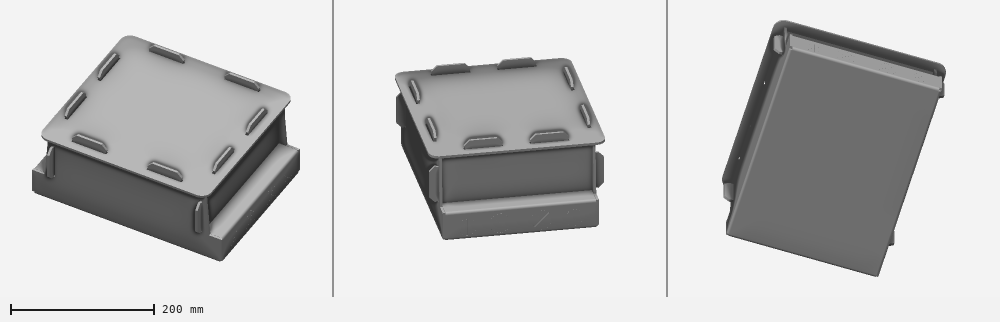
import cadquery as cq
import math

sheet = 3.5
box_length = 303.0
box_width = 221.8
lid_length = 269.7
lid_width = 251.0
lid_corner_radius = 15.0
lid_top = 124.0
lid_bottom = lid_top - sheet
inner_y = box_width / 2 - sheet
bend_inner = 0.15
bend_outer = bend_inner + sheet
floor_x = box_length / 2 - bend_outer
floor_y = inner_y - bend_inner
seam_gap = 0.3

ledge_height = 43.3
upright_x = 120.3

step_x = 131.5
top_x = 125.5
corner_notch = 4.5

tab_reach = 13.0
tab_head = 55.0
tab_neck = 51.0
tab_bevel = 8.0
side_wall_tab_x = 60.3
end_wall_tab_y = 47.0
end_tab_z = 73.5

slot_length = 55.8
slot_width = 5.0

cable_cuts = [(29.7, 20.0, 14.8), (75.5, 18.5, 12.7)]
slit_width = 0.15
arc_half_angle = 16
ray_angles = (45, 90, 135, 225, 270, 315)


def mirrored(right):
    """Outline points on the right of the centre line, followed by their mirror images."""
    return right + [(-u, v) for u, v in reversed(right)]


def tab(plane):
    """Bevelled tab: grows along the plane's local Y, one sheet thick along its normal."""
    tip = sheet + tab_reach
    shoulder = tip - tab_bevel
    head = tab_head / 2
    neck = tab_neck / 2
    flat = head - tab_bevel
    right = [(flat, tip), (head, shoulder), (neck, -seam_gap)]
    outline = mirrored(right)
    return cq.Workplane(plane).polyline(outline).close().extrude(sheet)


def floor_and_ends():
    """Floor with both stepped end walls."""
    half = box_length / 2
    upright_inner = upright_x - sheet
    ledge_under = ledge_height - sheet
    outer = [(half, 0), (half, ledge_height), (upright_x, ledge_height), (upright_x, lid_bottom)]
    inner = [
        (upright_inner, lid_bottom),
        (upright_inner, ledge_under),
        (half - sheet, ledge_under),
        (half - sheet, sheet),
    ]
    end_half_width = inner_y - seam_gap
    body = cq.Workplane("XZ").polyline(mirrored(outer + inner)).close().extrude(end_half_width, both=True)

    for x, z in [(half - sheet, sheet), (half - sheet, ledge_under), (upright_x, ledge_height)]:
        body = round_bend(body, x, z, bend_inner)
    for x, z in [(half, 0), (half, ledge_height), (upright_inner, ledge_under)]:
        body = round_bend(body, x, z, bend_outer)

    floor = cq.Workplane("XY").rect(2 * floor_x, 2 * floor_y).extrude(sheet)
    return body.union(floor)


def round_bend(body, x, z, radius):
    """Round the bend edges that run along Y through (x, z) and (-x, z)."""
    reach = sheet / 4
    for bend_x in (-x, x):
        low = (bend_x - reach, -reach, z - reach)
        high = (bend_x + reach, reach, z + reach)
        body = body.edges(cq.selectors.BoxSelector(low, high)).fillet(radius)
    return body


def side_wall():
    """Side wall at -Y with its floor bend, top tabs and end wall tab slots."""
    half = box_length / 2
    right = [
        (floor_x, bend_outer),
        (floor_x, corner_notch),
        (half, corner_notch),
        (half, ledge_height),
        (step_x, ledge_height),
        (top_x, lid_bottom),
    ]
    wall = cq.Workplane("XZ", origin=(0, -inner_y, 0)).polyline(mirrored(right)).close().extrude(sheet)

    slant = math.sqrt(0.5)
    bend = (
        cq.Workplane("YZ", origin=(0, -floor_y, bend_outer))
        .moveTo(0, -bend_outer)
        .threePointArc((-slant * bend_outer, -slant * bend_outer), (-bend_outer, 0))
        .lineTo(-bend_inner, 0)
        .threePointArc((-slant * bend_inner, -slant * bend_inner), (0, -bend_inner))
        .close()
        .extrude(floor_x, both=True)
    )
    wall = wall.union(bend)

    for x in (-side_wall_tab_x, side_wall_tab_x):
        wall = wall.union(tab(cq.Plane((x, -inner_y, lid_bottom), (1, 0, 0), (0, -1, 0))))
    for side in (-1, 1):
        slot = cq.Workplane("XY").box(slot_width, 3 * sheet, slot_length)
        wall = wall.cut(slot.translate((side * (upright_x - slot_width / 2), -inner_y, end_tab_z)))
    return wall


def end_wall_tabs():
    """Tabs of the end wall at -X: two through the lid and one through each side wall."""
    tabs = []
    for side in (-1, 1):
        root = (-upright_x, side * end_wall_tab_y, lid_bottom)
        tabs.append(tab(cq.Plane(root, (0, 1, 0), (1, 0, 0))))
        root = (-upright_x, side * inner_y, end_tab_z)
        tabs.append(tab(cq.Plane(root, (0, 0, -side), (1, 0, 0))))
    return tabs


def cable_slits(y, z, radius):
    """Six T-shaped slits around (y, z) that cut through both lower end walls."""
    plane = cq.Plane((-box_length, y, z), (0, 1, 0), (1, 0, 0))
    length = 2 * box_length
    inner = radius - slit_width

    def polar(distance, angle):
        turn = math.radians(angle)
        return (distance * math.cos(turn), distance * math.sin(turn))

    slits = []
    for angle in ray_angles:
        start = angle - arc_half_angle
        end = angle + arc_half_angle
        arc = (
            cq.Workplane(plane)
            .moveTo(*polar(radius, start))
            .threePointArc(polar(radius, angle), polar(radius, end))
            .lineTo(*polar(inner, end))
            .threePointArc(polar(inner, angle), polar(inner, start))
            .close()
            .extrude(length)
        )
        middle = (radius - slit_width / 2) / 2
        ray = cq.Workplane(plane).center(*polar(middle, angle)).transformed(rotate=(0, 0, angle))
        slits.append(arc.union(ray.rect(2 * middle, slit_width).extrude(length)))
    return slits


def make_box():
    """Folded box: floor, end walls, side walls, tabs and cable knock-outs."""
    body = floor_and_ends()
    wall = side_wall()
    body = body.union(wall).union(wall.mirror("XZ"))
    for end_tab in end_wall_tabs():
        body = body.union(end_tab).union(end_tab.mirror("YZ"))
    for offset, height, radius in cable_cuts:
        for y in (-offset, offset):
            for slit in cable_slits(y, height, radius):
                body = body.cut(slit)
    return body


def make_lid():
    """Flat lid with rounded corners and a slot for each upward tab."""
    plate = cq.Workplane("XY", origin=(0, 0, lid_bottom)).rect(lid_length, lid_width).extrude(sheet)
    plate = plate.edges("|Z").fillet(lid_corner_radius)
    side_slot_y = inner_y + slot_width / 2
    end_slot_x = upright_x - slot_width / 2
    for x_side in (-1, 1):
        for y_side in (-1, 1):
            side_slot = cq.Workplane("XY").box(slot_length, slot_width, 3 * sheet)
            plate = plate.cut(side_slot.translate((x_side * side_wall_tab_x, y_side * side_slot_y, lid_top)))
            end_slot = cq.Workplane("XY").box(slot_width, slot_length, 3 * sheet)
            plate = plate.cut(end_slot.translate((x_side * end_slot_x, y_side * end_wall_tab_y, lid_top)))
    return plate


folded_box = make_box()
lid = make_lid()

result = cq.Compound.makeCompound([*folded_box.vals(), lid.val()])